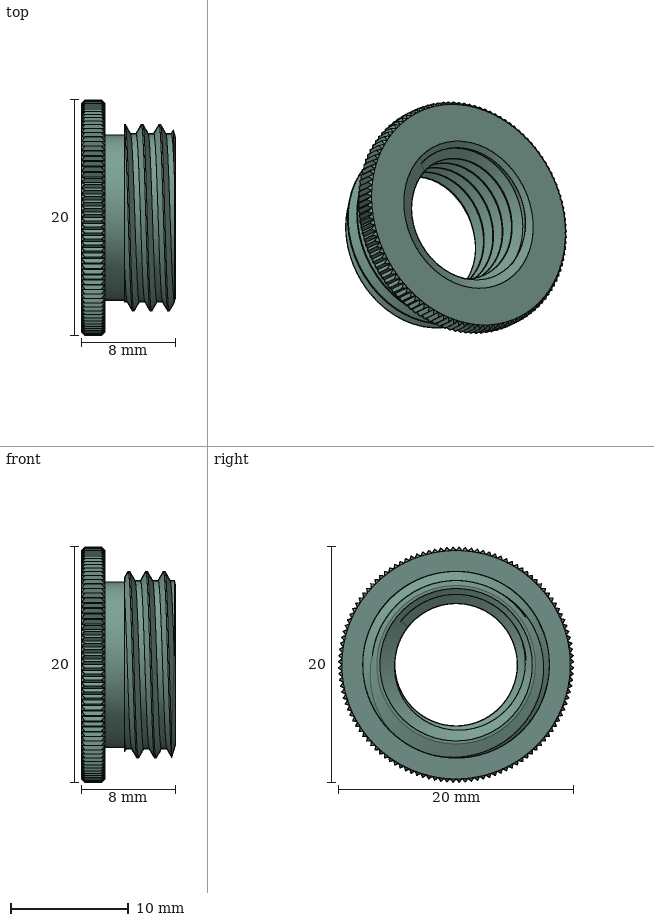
import cadquery as cq
import math

total_length = 8.0
flange_thickness = 2.0
thread_start = 3.67

knurl_diameter = 19.95
knurl_depth = 0.3
knurl_count = 120
knurl_chamfer = 0.3

neck_diameter = 14.05
thread_pitch = 1.5
outer_crest_diameter = 15.85
outer_root_diameter = 14.28
outer_crest_position = 3.65
end_chamfer_length = 0.35
end_diameter = 13.45

bore_diameter = 10.37
inner_root_diameter = 11.93
inner_root_position = -0.12
countersink_diameter = 12.93

flank_slope = math.tan(math.radians(30))
outer_crest_width = 0.12
inner_root_width = 0.48
overlap = 0.04
clearance = 0.4
margin = thread_pitch


def thread_sweep(tip_radius, base_radius, tip_width, tip_position, z_min, z_max):
    """Right-handed trapezoid sweep about Z, with its tip at tip_position where it crosses +X."""
    turns_below = math.ceil((tip_position - z_min + margin) / thread_pitch)
    start = tip_position - turns_below * thread_pitch
    helix = cq.Wire.makeHelix(thread_pitch, z_max + margin - start, tip_radius)
    half_tip = tip_width / 2
    half_base = half_tip + abs(tip_radius - base_radius) * flank_slope
    profile = cq.Workplane("XZ").polyline([
        (base_radius, -half_base),
        (tip_radius, -half_tip),
        (tip_radius, half_tip),
        (base_radius, half_base),
    ]).close()
    return profile.sweep(cq.Workplane(helix), isFrenet=True).translate((0, 0, start))


def revolve_profile(points):
    """Turn (radius, height) points about Z."""
    return cq.Workplane("XZ").polyline(points).close().revolve(360, (0, 0), (0, 1))


def knurled_flange():
    """Disc with V-shaped teeth on its rim, a valley on each main axis and both rim edges chamfered."""
    half_tooth = math.pi / knurl_count
    tip_radius = knurl_diameter / 2 / math.cos(half_tooth)
    valley_radius = knurl_diameter / 2 - knurl_depth
    outline = []
    for tooth in range(knurl_count):
        valley_angle = 2 * half_tooth * tooth
        tip_angle = valley_angle + half_tooth
        outline.append((valley_radius * math.cos(valley_angle), valley_radius * math.sin(valley_angle)))
        outline.append((tip_radius * math.cos(tip_angle), tip_radius * math.sin(tip_angle)))
    toothed_disc = cq.Workplane("XY").polyline(outline).close().extrude(flange_thickness)
    chamfered_disc = revolve_profile([
        (0, 0),
        (tip_radius - knurl_chamfer, 0),
        (tip_radius, knurl_chamfer),
        (tip_radius, flange_thickness - knurl_chamfer),
        (tip_radius - knurl_chamfer, flange_thickness),
        (0, flange_thickness),
    ])
    return toothed_disc.intersect(chamfered_disc)


def external_thread():
    """Threaded length, cut square at the neck and tapered at the free end."""
    crest_radius = outer_crest_diameter / 2
    root_radius = outer_root_diameter / 2
    end_radius = end_diameter / 2
    envelope_radius = crest_radius + clearance
    taper_length = end_chamfer_length * (envelope_radius - end_radius) / (crest_radius - end_radius)
    ridge = thread_sweep(
        crest_radius, root_radius - overlap, outer_crest_width,
        outer_crest_position, thread_start, total_length,
    )
    core_length = total_length - thread_start + 2 * margin
    core = cq.Workplane("XY").workplane(offset=thread_start - margin).circle(root_radius).extrude(core_length)
    envelope = revolve_profile([
        (0, thread_start),
        (envelope_radius, thread_start),
        (envelope_radius, total_length - taper_length),
        (end_radius, total_length),
        (0, total_length),
    ])
    return core.union(ridge).intersect(envelope)


def countersink():
    """Cone that opens the bore at the end lying on the XY plane."""
    bore_radius = bore_diameter / 2
    mouth_radius = countersink_diameter / 2
    countersink_depth = (mouth_radius - bore_radius) * flank_slope
    return revolve_profile([
        (0, 0),
        (mouth_radius, 0),
        (bore_radius, countersink_depth),
        (0, countersink_depth),
    ])


def threaded_bore():
    """Screw-shaped cutter: the through bore with a helical groove along its whole length."""
    bore_radius = bore_diameter / 2
    groove = thread_sweep(
        inner_root_diameter / 2, bore_radius - overlap, inner_root_width,
        inner_root_position, 0, total_length,
    )
    bore = cq.Workplane("XY").workplane(offset=-margin).circle(bore_radius).extrude(total_length + 2 * margin)
    return bore.union(groove)


neck_length = thread_start - flange_thickness
neck = cq.Workplane("XY").workplane(offset=flange_thickness).circle(neck_diameter / 2).extrude(neck_length)
flange_countersink = countersink()
free_end_countersink = countersink().mirror("XY").translate((0, 0, total_length))
cutter = threaded_bore().union(flange_countersink).union(free_end_countersink)
ring = knurled_flange().union(neck).union(external_thread()).cut(cutter)
result = ring.rotate((0, 0, 0), (1, 1, 1), 120).solids()